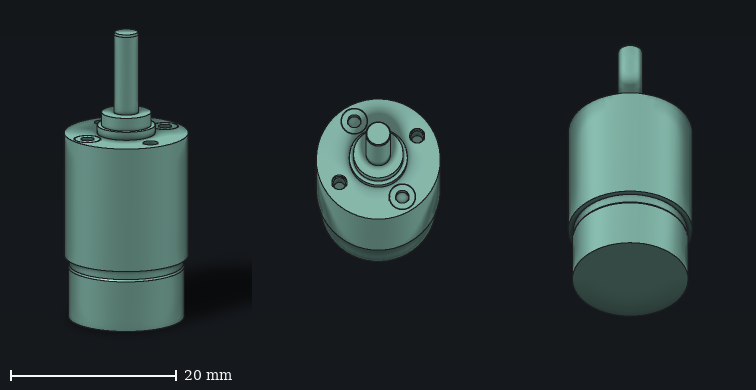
import cadquery as cq

can_diameter = 14.0
can_height = 6.48
can_bevel_height = 0.25

neck_diameter = 13.7
neck_height = 1.17

gearbox_diameter = 15.0
gearbox_height = 15.35

flange_diameter = 7.0
flange_height = 1.0
collar_diameter = 6.0
collar_height = 1.6

overall_height = 35.6
shaft_diameter = 3.0
shaft_bevel_height = 0.3
shaft_bevel_inset = 0.1

bolt_circle_radius = 5.52
screw_recess_diameter = 3.2
screw_head_diameter = 3.1
screw_recess_depth = 1.5
socket_diameter = 1.6
socket_depth = 1.0
mount_mouth_diameter = 1.8
mount_mouth_depth = 0.7
mount_core_diameter = 1.5
mount_core_depth = 3.0

gearbox_base = can_height + neck_height
gearbox_top = gearbox_base + gearbox_height
flange_top = gearbox_top + flange_height
collar_top = flange_top + collar_height


def turned_body():
    """Solid of revolution: can, neck, gearbox, stepped boss and shaft."""
    can_radius = can_diameter / 2
    neck_radius = neck_diameter / 2
    gearbox_radius = gearbox_diameter / 2
    flange_radius = flange_diameter / 2
    collar_radius = collar_diameter / 2
    shaft_radius = shaft_diameter / 2
    half_profile = [
        (0, 0),
        (can_radius, 0),
        (can_radius, can_height - can_bevel_height),
        (neck_radius, can_height),
        (neck_radius, gearbox_base),
        (gearbox_radius, gearbox_base),
        (gearbox_radius, gearbox_top),
        (flange_radius, gearbox_top),
        (flange_radius, flange_top),
        (collar_radius, flange_top),
        (collar_radius, collar_top),
        (shaft_radius, collar_top),
        (shaft_radius, overall_height - shaft_bevel_height),
        (shaft_radius - shaft_bevel_inset, overall_height),
        (0, overall_height),
    ]
    return cq.Workplane("XZ").polyline(half_profile).close().revolve(360, (0, 0), (0, 1))


def gearbox_face(points):
    """Workplane on the gearbox face, with the given points ready for sketching."""
    return cq.Workplane("XY").workplane(offset=gearbox_top).pushPoints(points)


def blind_holes(points, diameter, depth):
    """Cutters for blind holes sunk from the gearbox face."""
    return gearbox_face(points).circle(diameter / 2).extrude(-depth)


def head_gaps(points):
    """Cutters for the narrow ring gap around each flush screw head."""
    recess_radius = screw_recess_diameter / 2
    head_radius = screw_head_diameter / 2
    return gearbox_face(points).circle(recess_radius).circle(head_radius).extrude(-screw_recess_depth)


screw_points = [(0, bolt_circle_radius), (0, -bolt_circle_radius)]
mount_points = [(bolt_circle_radius, 0), (-bolt_circle_radius, 0)]

result = (
    turned_body()
    .cut(head_gaps(screw_points))
    .cut(blind_holes(screw_points, socket_diameter, socket_depth))
    .cut(blind_holes(mount_points, mount_mouth_diameter, mount_mouth_depth))
    .cut(blind_holes(mount_points, mount_core_diameter, mount_core_depth))
)